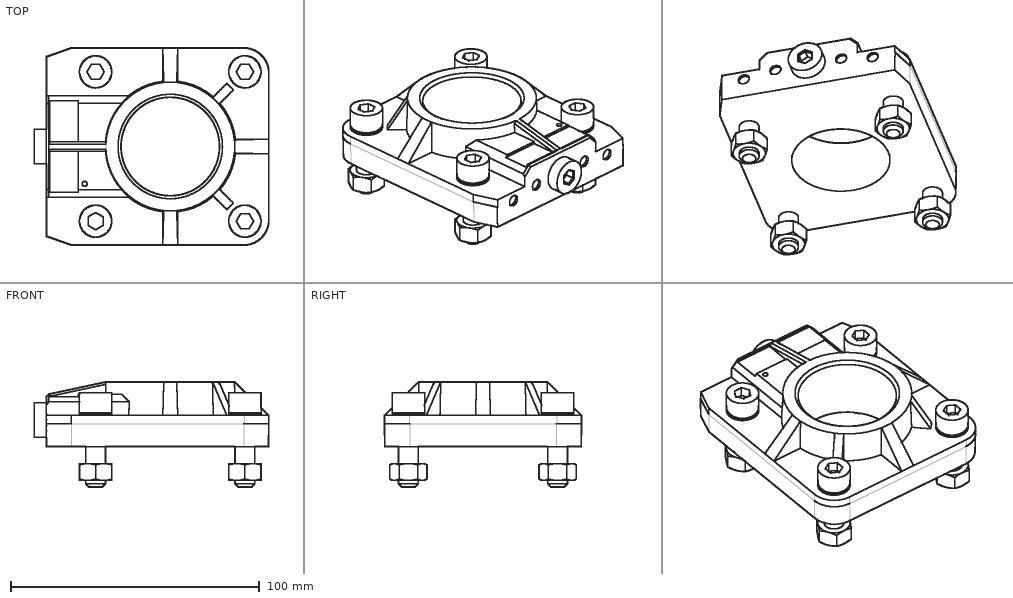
import cadquery as cq
import math


plate_half = 39.5
plate_height = 12.5
parting_height = 9.2
draft_angle = 1.0
corner_radius = 10.0
front_face_x = -49.73
front_corner_y = 36.0
front_corner_length = 10.0
front_overrun = 3.0
parting_half = plate_half + parting_height * math.tan(math.radians(draft_angle))

total_height = 26.0
collar_height = total_height - plate_height
collar_top_radius = 25.9
collar_draft_angle = 2.0
collar_base_radius = collar_top_radius + collar_height * math.tan(math.radians(collar_draft_angle))
bore_diameter = 39.5
bore_chamfer = 1.25

rib_start_radius = 23.0
edge_rib_base_width = 6.0
edge_rib_top_width = 5.2
diagonal_rib_width = 3.7
diagonal_rib_reach = 34.0
diagonal_rib_angle = 45.0

block_half_width = 20.4
block_top = 21.0
block_side_chamfer = 3.0
block_front_chamfer = 0.85
label_start_x = -48.4
label_end_x = -37.0
label_depth = 0.9
label_half_width = block_half_width - block_side_chamfer + label_depth
dimple_x = -34.4
dimple_y = -15.0
dimple_diameter = 2.0
dimple_depth = 1.0

roof_rib_width = 4.0
roof_rib_chamfer = 1.0
roof_rib_angle = 12.0

port_height = 10.65
plug_diameter = 14.0
plug_length = 5.0
plug_socket_flats = 5.2
plug_socket_depth = 4.0
plug_socket_chamfer = 0.45
front_hole_diameter = 4.5
front_hole_depth = 1.0
inner_hole_y = 13.7
outer_hole_y = 26.85
outer_hole_height = 8.6

screw_spacing = 60.0
screw_diameter = 8.0
screw_end_z = -16.3
screw_end_chamfer = 1.3
washer_thickness = 1.15
washer_chamfer = 0.3
head_diameter = 13.0
head_height = 8.0
socket_flats = 6.0
socket_depth = 4.0
nut_flats = 13.0
nut_height = 6.8
nut_top_z = -6.8
nut_bevel_angle = 30.0


def hexagon_diameter(flats):
    """Corner to corner size of a hexagon with the given width across flats."""
    return 2 * flats / math.sqrt(3)


def plate_outline(z, half):
    """Plate outline with two rounded rear corners and two sloped front corners."""
    slope = (half - front_corner_y) / front_corner_length
    front_x = front_face_x - front_overrun
    front_y = front_corner_y - front_overrun * slope
    shoulder_x = front_face_x + front_corner_length
    arc_start = half - corner_radius
    arc_mid = arc_start + corner_radius * math.sqrt(0.5)
    return (
        cq.Workplane("XY", origin=(0, 0, z))
        .moveTo(front_x, -front_y)
        .lineTo(shoulder_x, -half)
        .lineTo(arc_start, -half)
        .threePointArc((arc_mid, -arc_mid), (half, -arc_start))
        .lineTo(half, arc_start)
        .threePointArc((arc_mid, arc_mid), (arc_start, half))
        .lineTo(shoulder_x, half)
        .lineTo(front_x, front_y)
        .close()
    )


def make_plate():
    lower = plate_outline(0, plate_half).extrude(parting_height, taper=-draft_angle)
    upper_height = plate_height - parting_height
    upper = plate_outline(parting_height, parting_half).extrude(upper_height, taper=draft_angle)
    trim_size = 4 * plate_half
    trim = cq.Workplane("XY").box(trim_size, trim_size, trim_size)
    trim = trim.translate((front_face_x - trim_size / 2, 0, 0))
    return lower.union(upper).cut(trim)


def make_collar():
    return (
        cq.Workplane("XZ")
        .moveTo(0, 0)
        .lineTo(collar_base_radius, 0)
        .lineTo(collar_base_radius, plate_height)
        .lineTo(collar_top_radius, total_height)
        .lineTo(0, total_height)
        .close()
        .revolve(360, (0, 0), (0, 1))
    )


def make_rib(reach, base_width, top_width):
    """Gusset along +X: sloped from the collar rim down to the plate."""
    half_base = base_width / 2
    half_top = top_width / 2
    side = (
        cq.Workplane("XZ")
        .moveTo(rib_start_radius, plate_height)
        .lineTo(reach, plate_height)
        .lineTo(collar_top_radius, total_height)
        .lineTo(rib_start_radius, total_height)
        .close()
        .extrude(half_base, both=True)
    )
    section = (
        cq.Workplane("YZ")
        .moveTo(-half_base, plate_height)
        .lineTo(half_base, plate_height)
        .lineTo(half_top, total_height)
        .lineTo(-half_top, total_height)
        .close()
        .extrude(reach)
    )
    return side.intersect(section)


def rotated(shape, angle):
    return shape.rotate((0, 0, 0), (0, 0, 1), angle)


def make_collar_ribs():
    upper_height = plate_height - parting_height
    edge_reach = parting_half - upper_height * math.tan(math.radians(draft_angle))
    edge_rib = make_rib(edge_reach, edge_rib_base_width, edge_rib_top_width)
    diagonal_rib = make_rib(diagonal_rib_reach, diagonal_rib_width, diagonal_rib_width)
    ribs = edge_rib
    for angle in (90, -90):
        ribs = ribs.union(rotated(edge_rib, angle))
    for angle in (diagonal_rib_angle, -diagonal_rib_angle):
        ribs = ribs.union(rotated(diagonal_rib, angle))
    return ribs


def make_block():
    """Port block with beveled long edges, a beveled front rim and a label recess."""
    shoulder_y = block_half_width - block_side_chamfer
    shoulder_z = block_top - block_side_chamfer
    block = (
        cq.Workplane("YZ", origin=(front_face_x, 0, 0))
        .moveTo(-block_half_width, plate_height)
        .lineTo(block_half_width, plate_height)
        .lineTo(block_half_width, shoulder_z)
        .lineTo(shoulder_y, block_top)
        .lineTo(-shoulder_y, block_top)
        .lineTo(-block_half_width, shoulder_z)
        .close()
        .extrude(-front_face_x - rib_start_radius / 2)
    )
    block = block.faces("<X").edges("not (|Z or <Z)").chamfer(block_front_chamfer)
    label_length = label_end_x - label_start_x
    label = cq.Workplane("XY").box(label_length, 2 * label_half_width, 2 * label_depth)
    label = label.translate(((label_start_x + label_end_x) / 2, 0, block_top))
    dimple = cq.Workplane("XY").add(
        cq.Solid.makeCone(
            dimple_diameter / 2,
            0,
            dimple_depth,
            cq.Vector(dimple_x, dimple_y, block_top),
            cq.Vector(0, 0, -1),
        )
    )
    return block.cut(label).cut(dimple)


def make_roof_rib():
    """Rib along -X whose front end continues the bevel of the block rim."""
    slope = math.tan(math.radians(roof_rib_angle))
    bevel_x = front_face_x + block_front_chamfer
    roof_z = total_height - (-collar_top_radius - bevel_x) * slope
    overrun = (roof_z - block_top) / (1 - slope)
    rib = (
        cq.Workplane("XZ")
        .moveTo(bevel_x, plate_height)
        .lineTo(bevel_x, block_top)
        .lineTo(bevel_x + overrun, block_top + overrun)
        .lineTo(-collar_top_radius, total_height)
        .lineTo(-rib_start_radius, total_height)
        .lineTo(-rib_start_radius, plate_height)
        .close()
        .extrude(roof_rib_width / 2, both=True)
    )
    section_half = roof_rib_width / 2
    flat_half = section_half - roof_rib_chamfer
    roof_plane = cq.Plane(
        origin=(-collar_top_radius, 0, total_height),
        xDir=(0, 1, 0),
        normal=(1, 0, slope),
    )
    bevels = (
        cq.Workplane(roof_plane)
        .polyline([(flat_half, 0), (section_half, 0), (section_half, -roof_rib_chamfer)])
        .close()
        .polyline([(-flat_half, 0), (-section_half, 0), (-section_half, -roof_rib_chamfer)])
        .close()
        .extrude(-front_face_x, both=True)
    )
    return rib.cut(bevels)


def make_bore():
    bore_radius = bore_diameter / 2
    bore = cq.Workplane("XY").circle(bore_radius).extrude(total_height)
    mouth = (
        cq.Workplane("XY", origin=(0, 0, total_height))
        .circle(bore_radius + bore_chamfer)
        .workplane(offset=-bore_chamfer)
        .circle(bore_radius)
        .loft()
    )
    return bore.union(mouth)


def front_cylinder(y, z, diameter, start_x, length):
    """Cylinder along X, starting at start_x."""
    return (
        cq.Workplane("YZ", origin=(start_x, y, z))
        .circle(diameter / 2)
        .extrude(length)
    )


def make_front_holes():
    holes = cq.Workplane("XY")
    for side in (-1, 1):
        for y, z in ((inner_hole_y, port_height), (outer_hole_y, outer_hole_height)):
            holes = holes.add(
                front_cylinder(side * y, z, front_hole_diameter, front_face_x, front_hole_depth)
            )
    return holes.combine()


def make_plug():
    plug_x = front_face_x - plug_length
    plug = front_cylinder(0, port_height, plug_diameter, plug_x, plug_length)
    socket_mouth = plug_socket_flats + 2 * plug_socket_chamfer
    plane = cq.Workplane("YZ", origin=(plug_x, 0, port_height)).transformed(rotate=(0, 0, 90))
    socket = plane.polygon(6, hexagon_diameter(plug_socket_flats)).extrude(plug_socket_depth)
    mouth = (
        plane.polygon(6, hexagon_diameter(socket_mouth))
        .workplane(offset=plug_socket_chamfer)
        .polygon(6, hexagon_diameter(plug_socket_flats))
        .loft()
    )
    return plug.cut(socket).cut(mouth)


def make_nut():
    """Hexagon nut with bevelled corners on both faces, a pair of flats facing +X and -X."""
    nut_corner_radius = hexagon_diameter(nut_flats) / 2
    flat_radius = nut_flats / 2
    bevel_drop = (nut_corner_radius - flat_radius) * math.tan(math.radians(nut_bevel_angle))
    nut_bottom_z = nut_top_z - nut_height
    hexagon = (
        cq.Workplane("XY", origin=(0, 0, nut_bottom_z))
        .transformed(rotate=(0, 0, 90))
        .polygon(6, hexagon_diameter(nut_flats))
        .extrude(nut_height)
    )
    envelope = (
        cq.Workplane("XZ")
        .moveTo(0, nut_bottom_z)
        .lineTo(flat_radius, nut_bottom_z)
        .lineTo(nut_corner_radius, nut_bottom_z + bevel_drop)
        .lineTo(nut_corner_radius, nut_top_z - bevel_drop)
        .lineTo(flat_radius, nut_top_z)
        .lineTo(0, nut_top_z)
        .close()
        .revolve(360, (0, 0), (0, 1))
    )
    return hexagon.intersect(envelope)


def make_screw(socket_turn):
    """Socket head screw with washer and nut; socket_turn rotates the hexagon socket."""
    head_z = plate_height + washer_thickness
    shank = (
        cq.Workplane("XY", origin=(0, 0, screw_end_z))
        .circle(screw_diameter / 2)
        .extrude(head_z - screw_end_z)
        .faces("<Z")
        .chamfer(screw_end_chamfer)
    )
    washer = (
        cq.Workplane("XY", origin=(0, 0, plate_height))
        .circle(head_diameter / 2)
        .extrude(washer_thickness)
        .edges()
        .chamfer(washer_chamfer)
    )
    head = (
        cq.Workplane("XY", origin=(0, 0, head_z))
        .circle(head_diameter / 2)
        .extrude(head_height)
    )
    socket = (
        cq.Workplane("XY", origin=(0, 0, head_z + head_height))
        .transformed(rotate=(0, 0, socket_turn))
        .polygon(6, hexagon_diameter(socket_flats))
        .extrude(-socket_depth)
    )
    return shank.union(washer).union(head).cut(socket).union(make_nut())


def add_screws(body):
    half_spacing = screw_spacing / 2
    for x in (-half_spacing, half_spacing):
        for y in (-half_spacing, half_spacing):
            socket_turn = 30 if x < 0 and y < 0 else 0
            body = body.union(make_screw(socket_turn).translate((x, y, 0)))
    return body


body = make_plate().union(make_collar()).union(make_collar_ribs())
body = body.union(make_block()).union(make_roof_rib())
body = body.cut(make_bore()).cut(make_front_holes())
body = body.union(make_plug())
result = add_screws(body)